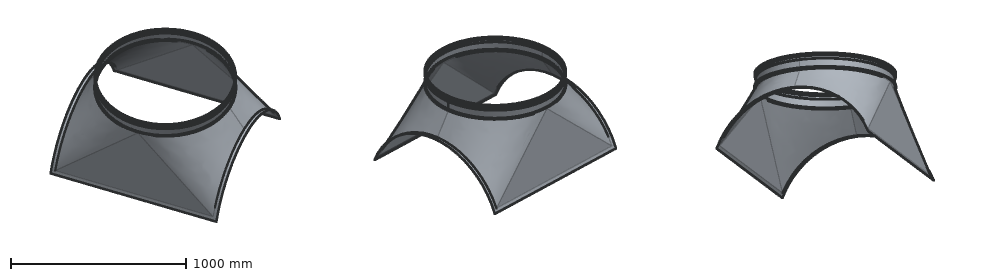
import cadquery as cq
import math


SHEET = 0.5
PIPE_RADIUS = 499.5
SADDLE_LENGTH = 1030.0
SADDLE_WIDTH = 929.55
SADDLE_MARGIN = 25.0
TOTAL_HEIGHT = 547.87

NECK_OUTER_DIA = 797.75
NECK_FLANGE_DIA = 813.0
COLLAR_OUTER_DIA = 798.65
COLLAR_EDGE_DIA = 796.75
COLLAR_FLANGE_DIA = 809.65
GROOVE_OUTER_DIA = 795.05
RING_INNER_DIA = 792.85
RING_MOUTH_DIA = 793.85
RING_TOP_DIA = 795.05
RING_SHOULDER_DIA = 798.65
RING_CHANNEL_DIA = 804.05
RING_BEAD_DIA = 809.65

NECK_HEIGHT = 12.5
COLLAR_HEIGHT = 84.0
GROOVE_DEPTH_FROM_TOP = 33.0
GROOVE_HEIGHT = 4.0
RING_HEIGHT = 17.0
RING_TOP_TAPER = 3.0
RING_MOUTH_DEPTH = 8.0
RING_BEAD_DROP = 6.0
RING_BEAD_HEIGHT = 4.0
RING_SLOT_DEPTH = 13.0
SEAM_GAP = 2.0

saddle_outer_radius = PIPE_RADIUS + SHEET
saddle_half_angle = math.asin(SADDLE_WIDTH / 2 / saddle_outer_radius)
hood_half_angle = saddle_half_angle - SADDLE_MARGIN / PIPE_RADIUS
hood_half_length = SADDLE_LENGTH / 2 - SADDLE_MARGIN
saddle_bottom = PIPE_RADIUS * math.cos(saddle_half_angle)
rim_top = saddle_bottom + TOTAL_HEIGHT
joint_level = rim_top - COLLAR_HEIGHT
hood_top = joint_level - NECK_HEIGHT
neck_radius = NECK_OUTER_DIA / 2


def on_pipe(x, radius, angle):
    """Point on a cylinder around X, with the angle measured from +Z towards +Y."""
    return cq.Vector(x, radius * math.sin(angle), radius * math.cos(angle))


def hood_block(top_radius, half_length, half_angle, base_radius):
    """Solid between the round outlet and a rectangle wrapped on the pipe."""
    faces = []
    rim_edges = []
    base_edges = []
    rim_points = {
        side: cq.Vector(0, side * top_radius, hood_top) for side in (-1, 1)
    }
    diagonal = top_radius * math.sqrt(0.5)
    for end in (-1, 1):
        for side in (-1, 1):
            rim_arc = cq.Edge.makeThreePointArc(
                cq.Vector(end * top_radius, 0, hood_top),
                cq.Vector(end * diagonal, side * diagonal, hood_top),
                rim_points[side],
            )
            base_arc = cq.Edge.makeThreePointArc(
                on_pipe(end * half_length, base_radius, 0),
                on_pipe(end * half_length, base_radius, side * half_angle / 2),
                on_pipe(end * half_length, base_radius, side * half_angle),
            )
            faces.append(cq.Face.makeRuledSurface(rim_arc, base_arc))
            rim_edges.append(rim_arc)
            base_edges.append(base_arc)
    for side in (-1, 1):
        corners = [on_pipe(end * half_length, base_radius, side * half_angle) for end in (-1, 1)]
        triangle = cq.Wire.makePolygon([*corners, rim_points[side]], close=True)
        faces.append(cq.Face.makeFromWires(triangle))
        crown_to_side = [edge for edge in base_edges if edge.Center().y * side > 0]
        faces.append(cq.Face.makeRuledSurface(*crown_to_side))
    faces.append(cq.Face.makeFromWires(cq.Wire.assembleEdges(rim_edges)))
    return cq.Workplane(cq.Solid.makeSolid(cq.Shell.makeShell(faces)).fix())


def ring_of(profile):
    """Revolve (radius, height) points about the outlet axis."""
    return cq.Workplane("XZ").polyline(profile).close().revolve(360, (0, 0, 0), (0, 1, 0))


def make_hood():
    """Saddle plate, square-to-round hood and flanged neck in one sheet body."""
    plate = (
        cq.Workplane("YZ", origin=(-SADDLE_LENGTH / 2, 0, 0))
        .moveTo(*on_pipe(0, PIPE_RADIUS, -saddle_half_angle).toTuple()[1:])
        .threePointArc((0, PIPE_RADIUS), on_pipe(0, PIPE_RADIUS, saddle_half_angle).toTuple()[1:])
        .lineTo(*on_pipe(0, saddle_outer_radius, saddle_half_angle).toTuple()[1:])
        .threePointArc(
            (0, saddle_outer_radius),
            on_pipe(0, saddle_outer_radius, -saddle_half_angle).toTuple()[1:],
        )
        .close()
        .extrude(SADDLE_LENGTH)
    )
    outside = hood_block(neck_radius, hood_half_length, hood_half_angle, saddle_outer_radius)
    inside = hood_block(neck_radius - SHEET, hood_half_length - SHEET / 2, hood_half_angle, PIPE_RADIUS)
    neck = ring_of([
        (neck_radius - SHEET, hood_top),
        (neck_radius, hood_top),
        (neck_radius, joint_level - SHEET),
        (NECK_FLANGE_DIA / 2, joint_level - SHEET),
        (NECK_FLANGE_DIA / 2, joint_level),
        (neck_radius - SHEET, joint_level),
    ])
    return plate.union(outside).cut(inside).union(neck)


def make_collar():
    """Rolled collar with a bottom flange, an inward groove and an open seam on the -X side."""
    outer = COLLAR_OUTER_DIA / 2
    inner = outer - SHEET
    edge_outer = COLLAR_EDGE_DIA / 2
    groove_outer = GROOVE_OUTER_DIA / 2
    groove_inner = groove_outer - SHEET
    groove_top = rim_top - GROOVE_DEPTH_FROM_TOP
    groove_bottom = groove_top - GROOVE_HEIGHT
    top = rim_top - RING_HEIGHT + RING_SLOT_DEPTH
    collar = ring_of([
        (inner, joint_level),
        (COLLAR_FLANGE_DIA / 2, joint_level),
        (COLLAR_FLANGE_DIA / 2, joint_level + SHEET),
        (outer, joint_level + SHEET),
        (outer, groove_bottom),
        (groove_outer, groove_bottom + SHEET),
        (groove_outer, groove_top - SHEET),
        (edge_outer, groove_top),
        (edge_outer, top),
        (edge_outer - SHEET, top),
        (edge_outer - SHEET, groove_top),
        (groove_inner, groove_top - SHEET),
        (groove_inner, groove_bottom + SHEET),
        (inner, groove_bottom),
    ])
    seam = cq.Workplane("XY").box(
        COLLAR_FLANGE_DIA, SEAM_GAP, COLLAR_HEIGHT, centered=(True, False, False)
    ).translate((-COLLAR_FLANGE_DIA / 2, 0, joint_level))
    return collar.cut(seam)


def make_rim_ring():
    """Ring capping the collar edge, with two beads around its lower outside."""
    bottom = rim_top - RING_HEIGHT
    slot_top = bottom + RING_SLOT_DEPTH
    slot_outer = COLLAR_EDGE_DIA / 2
    upper_bead_top = rim_top - RING_BEAD_DROP
    upper_bead_bottom = upper_bead_top - RING_BEAD_HEIGHT
    lower_bead_top = bottom + RING_BEAD_HEIGHT
    return ring_of([
        (RING_INNER_DIA / 2, bottom),
        (slot_outer - SHEET, bottom),
        (slot_outer - SHEET, slot_top),
        (slot_outer, slot_top),
        (slot_outer, bottom),
        (RING_BEAD_DIA / 2, bottom),
        (RING_BEAD_DIA / 2, lower_bead_top),
        (RING_CHANNEL_DIA / 2, lower_bead_top),
        (RING_CHANNEL_DIA / 2, upper_bead_bottom),
        (RING_BEAD_DIA / 2, upper_bead_bottom),
        (RING_BEAD_DIA / 2, upper_bead_top),
        (RING_SHOULDER_DIA / 2, upper_bead_top),
        (RING_SHOULDER_DIA / 2, rim_top - RING_TOP_TAPER),
        (RING_TOP_DIA / 2, rim_top),
        (RING_MOUTH_DIA / 2, rim_top),
        (RING_MOUTH_DIA / 2, rim_top - RING_MOUTH_DEPTH),
        (RING_INNER_DIA / 2, rim_top - RING_MOUTH_DEPTH),
    ])


hood = make_hood()
collar = make_collar()
rim_ring = make_rim_ring()

result = cq.Compound.makeCompound([hood.solids().val(), collar.solids().val(), rim_ring.solids().val()])